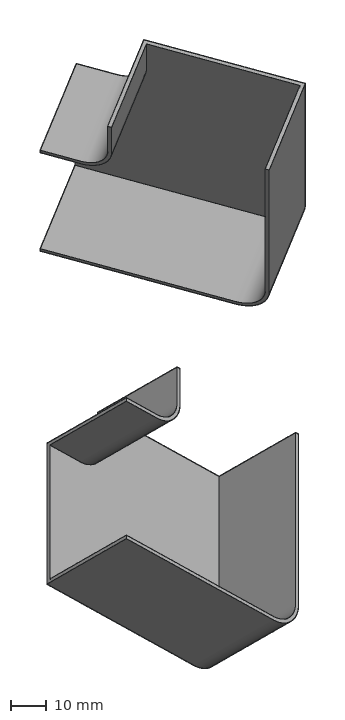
import cadquery as cq

leg_length = 67.9
depth = 31.9
wall = 1.2
back = 1.2
channel_width = 47.9
outer_radius = 10.0
notch_radius = 8.0

half_leg = leg_length / 2
half_depth = depth / 2


def elbow(inset, y_start, length):
    """L-shaped prism running toward +Y, its two side walls moved inward by inset."""
    far = half_leg - inset
    notch = half_leg - channel_width + inset
    corner_radius = outer_radius - inset
    inner_radius = notch_radius + inset
    prism = (
        cq.Workplane("XZ", origin=(0, y_start, 0))
        .moveTo(-half_leg, -far)
        .lineTo(far - corner_radius, -far)
        .radiusArc((far, -far + corner_radius), -corner_radius)
        .lineTo(far, half_leg)
        .lineTo(notch, half_leg)
        .lineTo(notch, -notch + inner_radius)
        .radiusArc((notch - inner_radius, -notch), inner_radius)
        .lineTo(-half_leg, -notch)
        .close()
        .extrude(-length)
    )
    return prism


body = elbow(0, -half_depth, depth)
channel = elbow(wall, -half_depth, depth - back)

result = body.cut(channel)